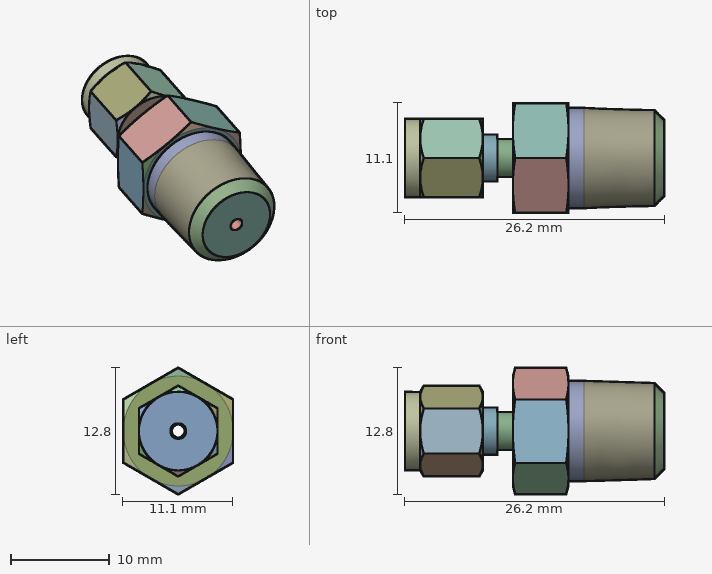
import cadquery as cq
import math


collar_end = 1.55
nut_end = 7.87
wide_neck_end = 9.35
narrow_neck_end = 10.9
body_hex_end = 16.52
shoulder_end = 18.1
total_length = 26.23

flats_per_corners = math.cos(math.radians(30))
nut_corners = 9.18
nut_flats = nut_corners * flats_per_corners
nut_chamfer_angle = 30.0
body_corners = 12.83
body_flats = body_corners * flats_per_corners
body_chamfer_angle = 15.0

collar_diameter = nut_flats
wide_neck_diameter = 4.8
narrow_neck_diameter = 3.88
stud_diameter = 10.18
stud_taper = 1 / 16
stud_chamfer = 1.02

socket_diameter = 1.57
socket_depth = 8.6
passage_diameter = 1.3


def cylinder(start, end, diameter):
    """Round bar on the X axis between two stations."""
    return cq.Workplane("YZ", origin=(start, 0, 0)).circle(diameter / 2).extrude(end - start)


def revolve_about_x(points):
    """Solid of revolution from a closed outline of (x, radius) points."""
    return cq.Workplane("XZ").polyline(points).close().revolve(360, (0, 0, 0), (1, 0, 0))


def chamfered_hex(start, end, corners, flats, chamfer_angle):
    """Hexagonal bar whose corners are cut back by a cone at both ends."""
    prism = (
        cq.Workplane("YZ", origin=(start, 0, 0))
        .transformed(rotate=(0, 0, 90))
        .polygon(6, corners)
        .extrude(end - start)
    )
    end_radius = flats / 2
    corner_radius = corners / 2
    setback = (corner_radius - end_radius) * math.tan(math.radians(chamfer_angle))
    envelope = revolve_about_x([
        (start, 0),
        (start, end_radius),
        (start + setback, corner_radius),
        (end - setback, corner_radius),
        (end, end_radius),
        (end, 0),
    ])
    return prism.intersect(envelope)


def tapered_stud():
    """Straight shoulder, tapered length and end chamfer."""
    taper_end = total_length - stud_chamfer
    shoulder_radius = stud_diameter / 2
    taper_end_radius = shoulder_radius - (taper_end - shoulder_end) * stud_taper / 2
    return revolve_about_x([
        (body_hex_end, 0),
        (body_hex_end, shoulder_radius),
        (shoulder_end, shoulder_radius),
        (taper_end, taper_end_radius),
        (total_length, taper_end_radius - stud_chamfer),
        (total_length, 0),
    ])


collar = cylinder(0, collar_end, collar_diameter)
nut = chamfered_hex(collar_end, nut_end, nut_corners, nut_flats, nut_chamfer_angle)

wide_neck = cylinder(nut_end, wide_neck_end, wide_neck_diameter)
narrow_neck = cylinder(wide_neck_end, narrow_neck_end, narrow_neck_diameter)
body_hex = chamfered_hex(narrow_neck_end, body_hex_end, body_corners, body_flats, body_chamfer_angle)

socket = cylinder(0, socket_depth, socket_diameter)
passage = cylinder(0, total_length, passage_diameter)

result = (
    collar.union(nut)
    .union(wide_neck)
    .union(narrow_neck)
    .union(body_hex)
    .union(tapered_stud())
    .cut(socket)
    .cut(passage)
)